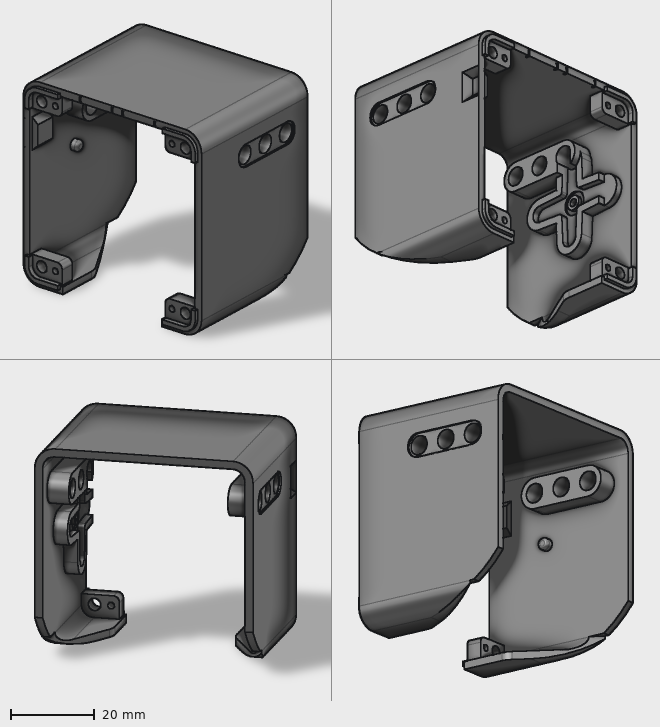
import cadquery as cq
import math

size = 54.0
total_depth = 42.5
lip_height = 0.95
wall = 2.0
corner_radius = 5.0

half = size / 2
inner_half = half - wall
back_y = total_depth / 2
front_y = -back_y + lip_height

bottom_lug_width = 12.0
opening_flare_start_y = -7.8
opening_flare_angle = 30.0
opening_flare_rounding = 5.0
sweep_radius = 30.0
sweep_rise = 11.75

block_width = 11.4
block_height = 7.7
block_depth = 4.0
block_rounding = 1.5
block_setback = 0.5
screw_hole_diameter = 3.0
screw_hole_inset = 5.25
pin_hole_diameter = 1.6
pin_hole_inset = 9.35
lip_outer_inset = 1.2
lip_inner_inset = 2.45
lip_length_x = 11.2
lip_length_z = 7.55

cable_hole_diameter = 4.8
cable_hole_pitch = 8.0
cable_row_y = 5.25
cable_row_z = 15.2
cable_slot_diameter = 6.05
cable_slot_depth = 0.5
cable_boss_diameter = 7.8
cable_boss_reach = 5.35

pivot_y = -2.95
pivot_z = 3.5
arm_length = 10.0
arm_hub_half_width = 2.65
arm_tip_radius = 2.15
socket_rim = 2.0
socket_height = 3.5
socket_floor = 1.75
socket_corner_rounding = 0.95
socket_well_diameter = 6.2
socket_well_depth = 0.5
socket_hub_diameter = 3.8
socket_hub_height = 0.45
socket_hole_diameter = 2.0
socket_hole_depth = 3.0

peg_diameter = 3.0
peg_length = 2.0
peg_rounding = 0.8

grip_z = 12.3
grip_height = 8.0
grip_length = 5.45
grip_depth = 1.75
grip_bulge_height = 8.75
grip_bulge_length = 5.7
grip_bulge_reach = 1.8
grip_bulge_bevel = 1.55
grip_bulge_setback = 0.85

groove_positions = (-9.8, -0.15, 3.1, 12.8)
groove_width = 0.5
groove_top_skin = 0.55
groove_depth = 0.95

sides = (-1, 1)


def rounded_prism(inset, near_y, far_y):
    """Square prism along Y, offset inwards from the outer shell, with rounded edges."""
    width = size - 2 * inset
    prism = cq.Workplane("XZ", origin=(0, near_y, 0)).rect(width, width).extrude(near_y - far_y)
    return prism.edges("|Y").fillet(corner_radius - inset)


def cuboid(x_range, y_range, z_range):
    """Box between two coordinates on every axis, given in any order."""
    spans = [sorted(pair) for pair in (x_range, y_range, z_range)]
    lows = [low for low, _ in spans]
    lengths = [high - low for low, high in spans]
    return cq.Workplane("XY").box(*lengths, centered=False).translate(tuple(lows))


def side_plane(x):
    """Sketch plane parallel to the side walls; local axes are Y and Z, normal is +X."""
    return cq.Workplane("YZ", origin=(x, 0, 0))


def make_shell():
    shell = rounded_prism(0, front_y, back_y).cut(rounded_prism(wall, front_y, back_y))
    return shell.cut(bottom_opening())


def bottom_opening():
    """Waste between the bottom lugs, flaring out to the side walls towards the back."""
    narrow = half - bottom_lug_width
    flare_end_y = opening_flare_start_y + bottom_lug_width / math.tan(math.radians(opening_flare_angle))
    corners = [
        (narrow, front_y),
        (narrow, opening_flare_start_y),
        (half, flare_end_y),
        (half, back_y),
    ]
    mirrored = [(-x, y) for x, y in reversed(corners)]
    opening = cq.Workplane("XY", origin=(0, 0, -half)).polyline(corners + mirrored).close()
    opening = opening.extrude(corner_radius)
    flare_corners = cq.selectors.BoxSelector(
        (-narrow - 0.55, opening_flare_start_y - 0.55, -half),
        (narrow + 0.55, opening_flare_start_y + 0.55, half),
    )
    return opening.edges("|Z").edges(flare_corners).fillet(opening_flare_rounding)


def rear_sweep():
    """Waste below the arc that lifts the bottom edge towards the back."""
    run = math.sqrt(sweep_radius**2 - (sweep_radius - sweep_rise) ** 2)
    middle_angle = math.asin(run / sweep_radius) / 2
    start_y = back_y - run
    middle = (
        start_y + sweep_radius * math.sin(middle_angle),
        -half + sweep_radius * (1 - math.cos(middle_angle)),
    )
    return (
        side_plane(-half)
        .moveTo(start_y, -half)
        .threePointArc(middle, (back_y, -half + sweep_rise))
        .lineTo(back_y, -half)
        .close()
        .extrude(size)
    )


def corner_block(side_x, side_z):
    block_front = front_y + block_setback
    block_back = block_front + block_depth
    block = cuboid((0, block_width), (block_front, block_back), (0, block_height))
    block = block.edges("|Y and >X and >Z").fillet(block_rounding)
    block = block.translate((-half, 0, -half))
    if side_x > 0:
        block = block.mirror("YZ")
    if side_z > 0:
        block = block.mirror("XY")
    return block.intersect(rounded_prism(wall / 2, block_front, block_back))


def corner_holes(side_x, side_z):
    z = side_z * (half - screw_hole_inset)
    depth = block_setback + block_depth
    holes = cq.Workplane("XY")
    for inset, diameter in (
        (screw_hole_inset, screw_hole_diameter),
        (pin_hole_inset, pin_hole_diameter),
    ):
        x = side_x * (half - inset)
        holes = holes.add(
            cq.Workplane("XZ", origin=(x, front_y, z)).circle(diameter / 2).extrude(-depth)
        )
    return holes


def corner_lip(side_x, side_z):
    lip_root_y = front_y + block_setback
    ring = rounded_prism(lip_outer_inset, -back_y, lip_root_y)
    ring = ring.cut(rounded_prism(lip_inner_inset, -back_y, lip_root_y))
    corner = cuboid(
        (side_x * half, side_x * (half - lip_length_x)),
        (-back_y, lip_root_y),
        (side_z * half, side_z * (half - lip_length_z)),
    )
    return ring.intersect(corner)


def cable_slot(x, diameter, length):
    """Slot prism around the whole row of cable holes, extruded along X from x."""
    return (
        side_plane(x)
        .center(cable_row_y, cable_row_z)
        .slot2D(2 * cable_hole_pitch + diameter, diameter)
        .extrude(length)
    )


def cable_holes():
    return (
        side_plane(-half)
        .center(cable_row_y, cable_row_z)
        .rarray(cable_hole_pitch, 0.55, 3, 1)
        .circle(cable_hole_diameter / 2)
        .extrude(size)
    )


def horn_cross(margin, x, length):
    """Four tapered, round-ended arms around the pivot, widened by a margin."""
    tip = arm_tip_radius + margin
    hub = arm_hub_half_width + margin
    tilt = math.asin((hub - tip) / arm_length)
    tip_y = arm_length + tip * math.sin(tilt)
    tip_z = tip * math.cos(tilt)
    arm = (
        side_plane(x)
        .moveTo(0, -hub)
        .lineTo(tip_y, -tip_z)
        .threePointArc((arm_length + tip, 0), (tip_y, tip_z))
        .lineTo(0, hub)
        .close()
        .extrude(length)
    )
    cross = arm
    for angle in (90, 180, 270):
        cross = cross.union(arm.rotate((0, 0, 0), (1, 0, 0), angle))
    return cross.translate((0, pivot_y, pivot_z))


def round_at_pivot(x, diameter, length):
    return side_plane(x).center(pivot_y, pivot_z).circle(diameter / 2).extrude(length)


def add_horn_socket(body):
    top_x = inner_half - socket_height
    floor_x = inner_half - socket_floor
    hub_x = floor_x - socket_hub_height
    well_x = floor_x + socket_well_depth
    boss_x = inner_half - cable_boss_reach

    body = body.union(horn_cross(socket_rim, top_x, socket_height))
    pocket = horn_cross(0, boss_x, floor_x - boss_x)
    inner_corners = cq.selectors.BoxSelector(
        (boss_x, pivot_y - 1.5 * arm_hub_half_width, pivot_z - 1.5 * arm_hub_half_width),
        (floor_x, pivot_y + 1.5 * arm_hub_half_width, pivot_z + 1.5 * arm_hub_half_width),
    )
    pocket = pocket.edges("|X").edges(inner_corners).fillet(socket_corner_rounding)
    body = body.cut(pocket)

    arm_end_y = pivot_y - arm_length
    rim_reach = arm_tip_radius + socket_rim
    body = body.cut(
        cuboid(
            (top_x, floor_x),
            (arm_end_y, arm_end_y - rim_reach),
            (pivot_z - rim_reach, pivot_z + rim_reach),
        )
    )
    body = body.cut(round_at_pivot(floor_x, socket_well_diameter, socket_well_depth))
    body = body.union(round_at_pivot(hub_x, socket_hub_diameter, well_x - hub_x))
    return body.cut(round_at_pivot(hub_x, socket_hole_diameter, socket_hole_depth))


def pivot_peg():
    return round_at_pivot(-inner_half, peg_diameter, peg_length).faces(">X").edges().fillet(peg_rounding)


def grip_bulge():
    near_y = front_y + grip_bulge_setback
    top_x = -inner_half + grip_bulge_reach
    bulge = (
        cq.Workplane("XZ", origin=(0, near_y, 0))
        .moveTo(-inner_half, grip_z - grip_bulge_height / 2)
        .lineTo(top_x, grip_z - grip_bulge_height / 2 + grip_bulge_bevel)
        .lineTo(top_x, grip_z + grip_bulge_height / 2 - grip_bulge_bevel)
        .lineTo(-inner_half, grip_z + grip_bulge_height / 2)
        .close()
        .extrude(-grip_bulge_length)
    )
    return bulge


def grip_recess():
    """Rectangular recess whose four sides slope in at 45 degrees."""
    return (
        side_plane(-half)
        .center(front_y + grip_length / 2, grip_z)
        .rect(grip_length, grip_height)
        .workplane(offset=grip_depth)
        .rect(grip_length - 2 * grip_depth, grip_height - 2 * grip_depth)
        .loft(ruled=True)
    )


def top_groove(x):
    return cuboid(
        (x - groove_width / 2, x + groove_width / 2),
        (front_y, front_y + groove_depth),
        (inner_half, half - groove_top_skin),
    )


result = make_shell()
for side_x in sides:
    for side_z in sides:
        result = result.union(corner_block(side_x, side_z)).union(corner_lip(side_x, side_z))

result = result.union(cable_slot(-inner_half, cable_boss_diameter, cable_boss_reach))
result = result.union(cable_slot(inner_half - cable_boss_reach, cable_boss_diameter, cable_boss_reach))
result = add_horn_socket(result)
result = result.union(pivot_peg()).union(grip_bulge())

for side_x in sides:
    for side_z in sides:
        result = result.cut(corner_holes(side_x, side_z))
result = result.cut(cable_holes())
result = result.cut(cable_slot(-half, cable_slot_diameter, cable_slot_depth))
result = result.cut(cable_slot(half - cable_slot_depth, cable_slot_diameter, cable_slot_depth))
result = result.cut(grip_recess())
for groove_x in groove_positions:
    result = result.cut(top_groove(groove_x))
result = result.cut(rear_sweep())